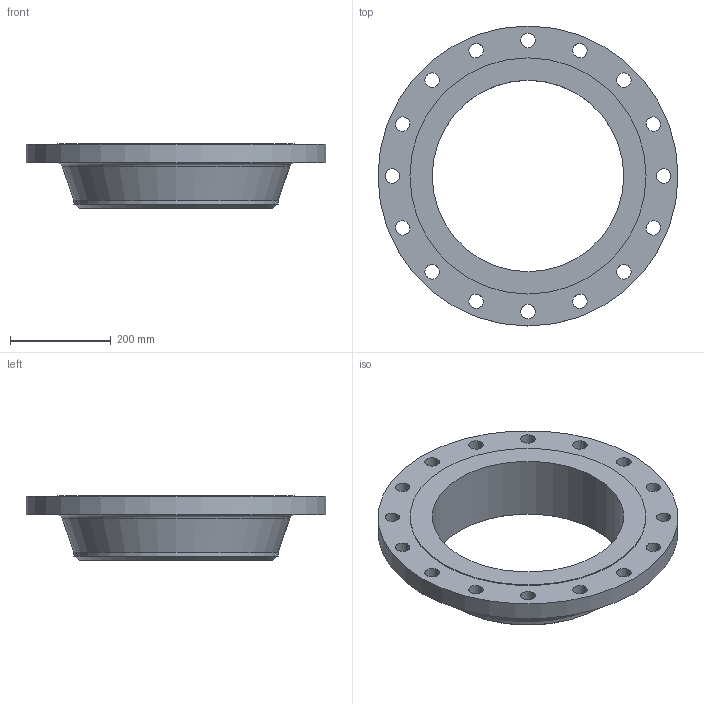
import cadquery as cq
import math

flange_diameter = 596.9
flange_thickness = 36.51

face_diameter = 469.9
face_height = 1.59

bore_diameter = 381.0

overall_height = 128.59
hub_diameter = 457.2
hub_fillet_radius = 9.5
neck_diameter = 406.4
neck_end_height = 16.0

bevel_angle = 37.5
land_width = 1.6

bolt_circle_diameter = 539.75
bolt_hole_diameter = 28.6
bolt_hole_count = 16

face_top = face_height
flange_bottom = -flange_thickness
neck_bottom = face_top - overall_height
taper_bottom = neck_bottom + neck_end_height

bore_radius = bore_diameter / 2
neck_radius = neck_diameter / 2
hub_radius = hub_diameter / 2
flange_radius = flange_diameter / 2
face_radius = face_diameter / 2
land_radius = bore_radius + land_width
bevel_top = neck_bottom + (neck_radius - land_radius) * math.tan(math.radians(bevel_angle))


def fillet_points():
    """Start (on the taper), middle and end (on the plate) of the arc between hub and plate."""
    taper_angle = math.atan2(flange_bottom - taper_bottom, hub_radius - neck_radius)
    tangent_length = hub_fillet_radius * math.tan(taper_angle / 2)
    center_r = hub_radius + tangent_length
    center_z = flange_bottom - hub_fillet_radius
    start = (
        hub_radius - tangent_length * math.cos(taper_angle),
        flange_bottom - tangent_length * math.sin(taper_angle),
    )
    middle_angle = math.pi / 2 + taper_angle / 2
    middle = (
        center_r + hub_fillet_radius * math.cos(middle_angle),
        center_z + hub_fillet_radius * math.sin(middle_angle),
    )
    end = (center_r, flange_bottom)
    return start, middle, end


def flange_body():
    """Plate, raised face, hub, neck and bore, revolved about Z from one half section."""
    fillet_start, fillet_middle, fillet_end = fillet_points()
    return (
        cq.Workplane("XZ")
        .moveTo(bore_radius, neck_bottom)
        .lineTo(land_radius, neck_bottom)
        .lineTo(neck_radius, bevel_top)
        .lineTo(neck_radius, taper_bottom)
        .lineTo(*fillet_start)
        .threePointArc(fillet_middle, fillet_end)
        .lineTo(flange_radius, flange_bottom)
        .lineTo(flange_radius, 0)
        .lineTo(face_radius, 0)
        .lineTo(face_radius, face_top)
        .lineTo(bore_radius, face_top)
        .close()
        .revolve(360, (0, 0, 0), (0, 1, 0))
    )


def bolt_holes():
    """Cylinders through the plate, evenly spaced on the bolt circle, the first on +X."""
    return (
        cq.Workplane("XY")
        .workplane(offset=flange_bottom)
        .polarArray(bolt_circle_diameter / 2, 0, 360, bolt_hole_count)
        .circle(bolt_hole_diameter / 2)
        .extrude(flange_thickness)
    )


result = flange_body().cut(bolt_holes())